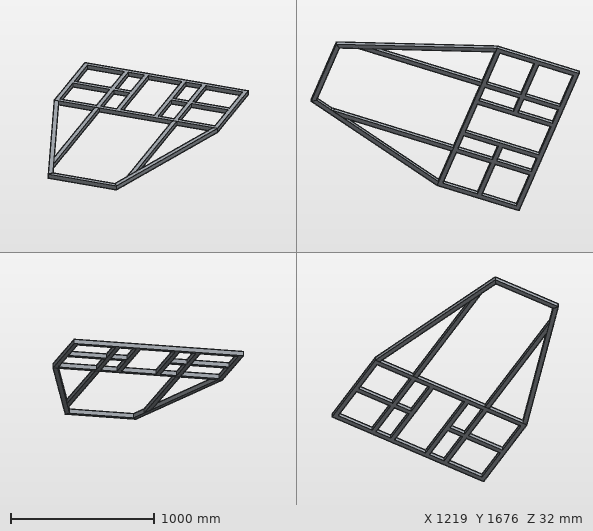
import cadquery as cq
import math

BAR = 32.0
TOTAL_LENGTH = 1676.0
DECK_WIDTH = 1219.0
DECK_LENGTH = 610.0
NOSE_WIDTH = 508.0
RAIL_GAP = 547.0
STRINGER_GAP = 248.0

deck_x = DECK_WIDTH / 2
deck_inner_x = deck_x - BAR
deck_front = TOTAL_LENGTH - DECK_LENGTH
deck_inner_front = deck_front + BAR
deck_inner_rear = TOTAL_LENGTH - BAR
deck_middle = TOTAL_LENGTH - DECK_LENGTH / 2

rail_inner_x = RAIL_GAP / 2
rail_outer_x = rail_inner_x + BAR
stringer_inner_x = STRINGER_GAP / 2
stringer_outer_x = stringer_inner_x + BAR

cross_front = deck_middle - BAR / 2
cross_rear = deck_middle + BAR / 2

nose_x = NOSE_WIDTH / 2
diagonal_slope = (deck_x - nose_x) / deck_front
diagonal_width = BAR * math.hypot(1, diagonal_slope)

SIDES = (-1, 1)


def diagonal_inner_x(y):
    """X of the inner face of the +X diagonal at a given Y."""
    return nose_x - diagonal_width + diagonal_slope * y


def diagonal_inner_y(x):
    """Y of the inner face of the +X diagonal at a given X."""
    return (x - nose_x + diagonal_width) / diagonal_slope


def member(points, side=1):
    """A bar with the given outline; side = -1 mirrors it to the -X side."""
    outline = [(side * x, y) for x, y in points]
    return cq.Workplane("XY").polyline(outline).close().extrude(BAR)


def straight_member(x0, x1, y0, y1, side=1):
    """A square-ended bar filling a rectangle."""
    return member([(x0, y0), (x1, y0), (x1, y1), (x0, y1)], side)


def mitred_end_bar(outer_y, inner_y):
    """A front or rear bar of the deck, mitred at both ends."""
    return member([
        (-deck_x, outer_y),
        (deck_x, outer_y),
        (deck_inner_x, inner_y),
        (-deck_inner_x, inner_y),
    ])


def mitred_side_bar(side):
    """A side bar of the deck, mitred at both ends."""
    return member([
        (deck_x, deck_front),
        (deck_x, TOTAL_LENGTH),
        (deck_inner_x, deck_inner_rear),
        (deck_inner_x, deck_inner_front),
    ], side)


def make_deck():
    """The rectangular deck and its inner grid, joined into one solid with its joint lines kept."""
    bars = [mitred_end_bar(TOTAL_LENGTH, deck_inner_rear)]
    for side in SIDES:
        bars += [
            mitred_side_bar(side),
            straight_member(deck_inner_x, stringer_outer_x, cross_front, cross_rear, side),
            straight_member(stringer_inner_x, stringer_outer_x, deck_inner_front, deck_inner_rear, side),
            straight_member(rail_inner_x, rail_outer_x, deck_inner_front, cross_front, side),
            straight_member(rail_inner_x, rail_outer_x, cross_rear, deck_inner_rear, side),
        ]
    deck = mitred_end_bar(deck_front, deck_inner_front)
    for bar in bars:
        deck = deck.union(bar, clean=False)
    return deck


def make_diagonal(side):
    """A slanted bar from the deck to the nose bar, mitred at the nose."""
    return member([
        (deck_x, deck_front),
        (nose_x, 0),
        (diagonal_inner_x(BAR), BAR),
        (diagonal_inner_x(deck_front), deck_front),
    ], side)


def make_nose_bar():
    """The bar across the nose, mitred to meet both diagonals."""
    inner_x = diagonal_inner_x(BAR)
    return member([(-nose_x, 0), (nose_x, 0), (inner_x, BAR), (-inner_x, BAR)])


def make_front_rail(side):
    """A rail that continues a long rail forward from the deck and ends against the diagonal."""
    return member([
        (rail_inner_x, deck_front),
        (rail_inner_x, diagonal_inner_y(rail_inner_x)),
        (rail_outer_x, diagonal_inner_y(rail_outer_x)),
        (rail_outer_x, deck_front),
    ], side)


deck = make_deck()
nose_bar = make_nose_bar()
diagonals = [make_diagonal(side) for side in SIDES]
front_rails = [make_front_rail(side) for side in SIDES]

result = cq.Compound.makeCompound([
    deck.solids().val(),
    nose_bar.val(),
    *[diagonal.val() for diagonal in diagonals],
    *[rail.val() for rail in front_rails],
])